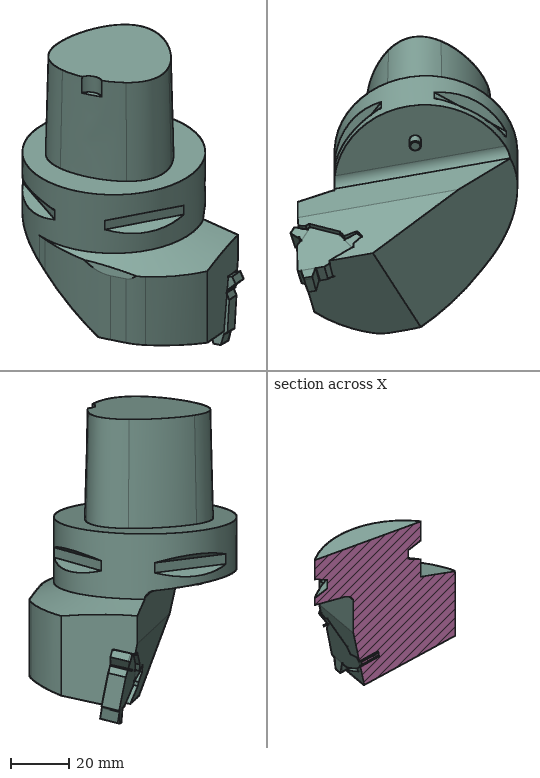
import cadquery as cq
import math


FLANGE_RADIUS = 63.0 / 2
FLANGE_HEIGHT = 22.8
NOTCH_COUNT = 4
NOTCH_START_ANGLE = 45
NOTCH_FLOOR_DISTANCE = 27.9
NOTCH_FLOOR_HEIGHT = 3.5
NOTCH_Z = -11.9
NOTCH_WALL_ANGLE = 30

SHANK_HEIGHT = 38.0
SHANK_RADIUS = 22.0
LOBE_OFFSET = 1.5
SHANK_SIDES = 6
SPLINE_STEPS = 10
SHANK_TAPER = 0.9
KEYWAY_RADIUS = 4.7
KEYWAY_INNER_Y = -17.6
KEYWAY_DEPTH = 6.3

HEAD_BACK_Y = 6.0
HEAD_FRONT_Y = FLANGE_RADIUS - 67.9
HEAD_BOTTOM_Z = -59.2
SIDE_BACK_X = 43.9
SIDE_FRONT = (43.6, -20.7)
TANGENT_X = -16.5
SWEEP_START_X = -13.7
FLAT_START_X = 14.0
FLAT_END_X = 19.9
CORNER_END = (26.4, -34.9)
SHOULDER_ANGLE = 15
BEVEL_TOP = (-35.5, -24.1)
BEVEL_BOTTOM_Z = -27.5
SLANT_START = (-FLANGE_RADIUS, -22.0)
SLANT_END_X = 18.3
BOTTOM_ANGLE = 10
TILT = 11
FACE_KNEE_Z = -35.9

RELIEF_OUTER_Z = -17.9
RELIEF_ANGLE = 5
RELIEF_ARC_START_Y = 9.8
RELIEF_ARC_END_Z = -22.2
NOZZLE_DIAMETER = 4.0
NOZZLE_Y = 17.9
NOZZLE_BOTTOM_Z = -22.7
NOZZLE_CHAMFER = 0.3

INSERT_CENTER = (36.8, 1.5, -51.1)
INSERT_THICKNESS = 6.4
INSERT_EDGES = 3
INSERT_CLEARANCE_ANGLE = 1
POCKET_GAP = 0.2
TIP_LEFT = 3.3
TIP_RIGHT = 6.3
TIP_END = -13.4
TIP_ROOT_LEFT = (2.0, -8.6)
TIP_ROOT_RIGHT = (7.2, -9.2)
EDGE_CORNER = (8.4, -8.5)
HEEL_LEFT = (-1.0, -8.8)
HEEL_RIGHT = (1.8, -8.8)
RAKE_RISE = 0.8

REACH = 102.5


def tan(angle):
    return math.tan(math.radians(angle))


def lobed_wire(radius, z):
    """Three-lobed closed curve, made of one spline for each rounded or flatter side."""
    def point(degrees):
        a = math.radians(degrees)
        x = radius * math.sin(a) - LOBE_OFFSET * math.sin(2 * a)
        y = radius * math.cos(a) + LOBE_OFFSET * math.cos(2 * a)
        return cq.Vector(x, y, z)

    span = 360 // SHANK_SIDES
    step = span // SPLINE_STEPS
    edges = []
    for i in range(SHANK_SIDES):
        start = (i + 0.5) * span
        points = [point(start + j * step) for j in range(SPLINE_STEPS + 1)]
        edges.append(cq.Edge.makeSpline(points))
    return cq.Wire.assembleEdges(edges)


def shank():
    wires = [
        lobed_wire(SHANK_RADIUS, 0),
        lobed_wire(SHANK_RADIUS - SHANK_TAPER, SHANK_HEIGHT),
    ]
    keyway = (
        cq.Workplane()
        .workplane(offset=SHANK_HEIGHT)
        .center(0, KEYWAY_INNER_Y - KEYWAY_RADIUS)
        .circle(KEYWAY_RADIUS)
        .extrude(-KEYWAY_DEPTH)
    )
    return cq.Workplane(cq.Solid.makeLoft(wires, True)).cut(keyway)


def gripper_notch(angle):
    half_floor = NOTCH_FLOOR_HEIGHT / 2
    depth = FLANGE_RADIUS - NOTCH_FLOOR_DISTANCE
    half_mouth = half_floor + depth * tan(NOTCH_WALL_ANGLE)
    return (
        cq.Workplane("XZ")
        .polyline([
            (NOTCH_FLOOR_DISTANCE, NOTCH_Z - half_floor),
            (FLANGE_RADIUS, NOTCH_Z - half_mouth),
            (FLANGE_RADIUS, NOTCH_Z + half_mouth),
            (NOTCH_FLOOR_DISTANCE, NOTCH_Z + half_floor),
        ])
        .close()
        .extrude(FLANGE_RADIUS, both=True)
        .rotate((0, 0, 0), (0, 0, 1), angle)
    )


def flange():
    body = cq.Workplane().circle(FLANGE_RADIUS).extrude(-FLANGE_HEIGHT)
    for i in range(NOTCH_COUNT):
        body = body.cut(gripper_notch(NOTCH_START_ANGLE + i * 360 / NOTCH_COUNT))
    return body


def head_block():
    tangent_y = -math.sqrt(FLANGE_RADIUS**2 - TANGENT_X**2)
    tangent_slope = TANGENT_X / -tangent_y
    sweep_start = (SWEEP_START_X, tangent_y + (SWEEP_START_X - TANGENT_X) * tangent_slope)
    back_left = (-math.sqrt(FLANGE_RADIUS**2 - HEAD_BACK_Y**2), HEAD_BACK_Y)
    return (
        cq.Workplane()
        .workplane(offset=-FLANGE_HEIGHT)
        .moveTo(*back_left)
        .threePointArc((-FLANGE_RADIUS, 0), (TANGENT_X, tangent_y))
        .lineTo(*sweep_start)
        .tangentArcPoint((FLAT_START_X, HEAD_FRONT_Y), relative=False)
        .lineTo(FLAT_END_X, HEAD_FRONT_Y)
        .tangentArcPoint(CORNER_END, relative=False)
        .tangentArcPoint(SIDE_FRONT, relative=False)
        .lineTo(SIDE_BACK_X, HEAD_BACK_Y)
        .close()
        .extrude(HEAD_BOTTOM_Z + FLANGE_HEIGHT)
    )


def above_shoulder():
    """Space above the conical shoulder that falls away from the flange rim."""
    return (
        cq.Workplane("XZ")
        .polyline([
            (FLANGE_RADIUS, 0),
            (FLANGE_RADIUS, -FLANGE_HEIGHT),
            (REACH, -FLANGE_HEIGHT - (REACH - FLANGE_RADIUS) * tan(SHOULDER_ANGLE)),
            (REACH, 0),
        ])
        .close()
        .revolve(360, (0, 0, 0), (0, 1, 0))
    )


def front_bevel():
    top_y, top_z = BEVEL_TOP
    run = (HEAD_FRONT_Y - top_y) / (BEVEL_BOTTOM_Z - top_z)
    return (
        cq.Workplane("YZ")
        .polyline([
            (top_y - top_z * run, 0),
            (top_y + (HEAD_BOTTOM_Z - top_z) * run, HEAD_BOTTOM_Z),
            (-REACH, HEAD_BOTTOM_Z),
            (-REACH, 0),
        ])
        .close()
        .extrude(REACH, both=True)
    )


def head():
    return head_block().cut(above_shoulder()).cut(front_bevel())


def below_slant():
    """Space under the slanted underside that runs from the flange to the head bottom."""
    start_x, start_z = SLANT_START
    slope = (HEAD_BOTTOM_Z - start_z) / (SLANT_END_X - start_x)
    return (
        cq.Workplane("XZ")
        .polyline([
            (-REACH, start_z - (REACH + start_x) * slope),
            (REACH, start_z + (REACH - start_x) * slope),
            (-REACH, start_z + (REACH - start_x) * slope),
        ])
        .close()
        .extrude(REACH, both=True)
    )


def beyond_cutting_corner():
    """Space outside the leaning cutting face and the inclined head bottom."""
    corner_y = HEAD_BACK_Y - (FACE_KNEE_Z - HEAD_BOTTOM_Z) * tan(TILT)
    return (
        cq.Workplane("YZ")
        .polyline([
            (HEAD_BACK_Y, FACE_KNEE_Z),
            (corner_y, HEAD_BOTTOM_Z),
            (corner_y - REACH, HEAD_BOTTOM_Z + REACH * tan(BOTTOM_ANGLE)),
            (corner_y - REACH, -REACH),
            (REACH, -REACH),
            (REACH, FACE_KNEE_Z),
        ])
        .close()
        .extrude(REACH, both=True)
    )


def flange_relief():
    """Space under the +Y half of the flange, behind the head."""
    def relief_z(y):
        return RELIEF_OUTER_Z - (FLANGE_RADIUS - y) * tan(RELIEF_ANGLE)

    return (
        cq.Workplane("YZ")
        .moveTo(REACH, relief_z(REACH))
        .lineTo(RELIEF_ARC_START_Y, relief_z(RELIEF_ARC_START_Y))
        .tangentArcPoint((HEAD_BACK_Y, RELIEF_ARC_END_Z), relative=False)
        .lineTo(HEAD_BACK_Y, -REACH)
        .lineTo(REACH, -REACH)
        .close()
        .extrude(REACH, both=True)
    )


def nozzle():
    return (
        cq.Workplane()
        .workplane(offset=NOZZLE_BOTTOM_Z)
        .center(0, NOZZLE_Y)
        .circle(NOZZLE_DIAMETER / 2)
        .extrude(RELIEF_OUTER_Z - NOZZLE_BOTTOM_Z)
        .faces("<Z")
        .chamfer(NOZZLE_CHAMFER)
    )


def insert_plane():
    """Front face of the insert, local Y up the leaning face and local Z into the holder."""
    lean = math.radians(TILT)
    return cq.Plane(INSERT_CENTER, (1, 0, 0), (0, -math.cos(lean), math.sin(lean)))


def turn(point, angle):
    a = math.radians(angle)
    x, y = point
    return x * math.cos(a) - y * math.sin(a), x * math.sin(a) + y * math.cos(a)


def insert_outline():
    one_third = [
        HEEL_LEFT,
        HEEL_RIGHT,
        TIP_ROOT_LEFT,
        (TIP_LEFT, TIP_END),
        (TIP_RIGHT, TIP_END),
        TIP_ROOT_RIGHT,
        EDGE_CORNER,
    ]
    points = [turn(p, i * 360 / INSERT_EDGES) for i in range(INSERT_EDGES) for p in one_third]
    return cq.Workplane(insert_plane()).polyline(points).close()


def raised_tip(angle):
    """Wedge on the front of one tip, rising toward its cutting edge."""
    root_y = TIP_ROOT_LEFT[1]
    base = [TIP_ROOT_LEFT, (TIP_LEFT, TIP_END), (TIP_RIGHT, TIP_END), (TIP_ROOT_RIGHT[0], root_y)]
    block = cq.Workplane().polyline(base).close().extrude(-RAKE_RISE)
    wedge = (
        cq.Workplane("YZ")
        .polyline([(root_y, 0), (TIP_END, 0), (TIP_END, -RAKE_RISE)])
        .close()
        .extrude(REACH, both=True)
    )
    tip = block.intersect(wedge).rotate((0, 0, 0), (0, 0, 1), angle)
    return cq.Workplane(tip.val().moved(insert_plane().location))


def make_insert():
    body = insert_outline().extrude(INSERT_THICKNESS, taper=INSERT_CLEARANCE_ANGLE)
    for i in range(INSERT_EDGES):
        body = body.union(raised_tip(i * 360 / INSERT_EDGES))
    return body


def insert_pocket():
    """Straight-walled pocket with its floor on the back of the insert, open at the cutting face."""
    outline = insert_outline().offset2D(POCKET_GAP, "intersection")
    return outline.extrude(INSERT_THICKNESS, both=True)


def make_holder():
    return (
        flange()
        .union(head())
        .cut(below_slant())
        .cut(beyond_cutting_corner())
        .cut(flange_relief())
        .union(shank())
        .union(nozzle())
        .cut(insert_pocket())
    )


holder = make_holder()
insert = make_insert()
result = cq.Compound.makeCompound([*holder.solids().vals(), *insert.solids().vals()])